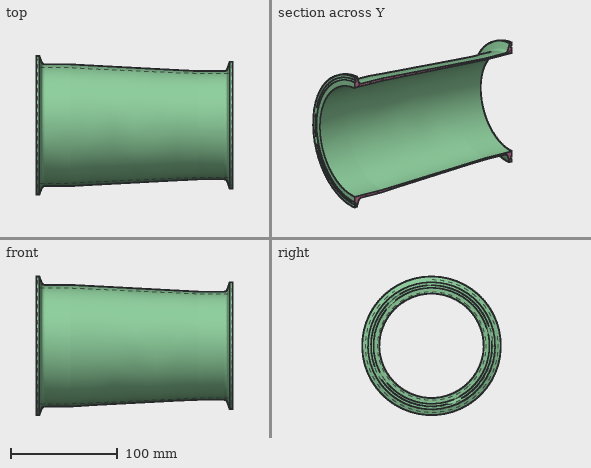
import cadquery as cq

LENGTH = 184.0
FERRULE_LENGTH = 32.0
RIM_WIDTH = 3.0
ROOT_X = 5.9
ROOT_RADIUS = 2.8

LARGE_FLANGE_RADIUS = 130.0 / 2
LARGE_TUBE_RADIUS = 114.3 / 2
LARGE_BORE_RADIUS = 108.4 / 2
SMALL_FLANGE_RADIUS = 119.0 / 2
SMALL_TUBE_RADIUS = 101.5 / 2
SMALL_BORE_RADIUS = 97.5 / 2

GROOVE_INSET = 4.0
GROOVE_HALF_WIDTH = 1.3
GROOVE_DEPTH = 1.1
GROOVE_LIP_RADIUS = 0.5

TOLERANCE = 0.02


def rounded(solid, x, edge_radius, fillet_radius):
    """Fillet the circular edge of the given radius lying at the given X."""
    at_x = [
        edge
        for edge in solid.edges("%CIRCLE").vals()
        if abs(edge.Center().x - x) < TOLERANCE and abs(edge.radius() - edge_radius) < TOLERANCE
    ]
    return solid.newObject(at_x).fillet(fillet_radius)


def ferrule(flange_radius, tube_radius, bore_radius):
    """Clamp ferrule with its flange face at X = 0 and its tube towards +X."""
    groove_radius = flange_radius - GROOVE_INSET
    profile = (
        cq.Workplane("XZ")
        .moveTo(0, bore_radius)
        .lineTo(0, groove_radius - GROOVE_HALF_WIDTH)
        .threePointArc((GROOVE_DEPTH, groove_radius), (0, groove_radius + GROOVE_HALF_WIDTH))
        .lineTo(0, flange_radius)
        .lineTo(RIM_WIDTH, flange_radius)
        .lineTo(ROOT_X, tube_radius)
        .lineTo(FERRULE_LENGTH, tube_radius)
        .lineTo(FERRULE_LENGTH, bore_radius)
        .close()
    )
    body = profile.revolve(360, (0, 0, 0), (1, 0, 0))
    body = rounded(body, ROOT_X, tube_radius, ROOT_RADIUS)
    for lip_radius in (groove_radius - GROOVE_HALF_WIDTH, groove_radius + GROOVE_HALF_WIDTH):
        body = rounded(body, 0, lip_radius, GROOVE_LIP_RADIUS)
    return body


def frustum(large_radius, small_radius):
    """Cone between the two ferrules."""
    profile = (
        cq.Workplane("XZ")
        .moveTo(FERRULE_LENGTH, 0)
        .lineTo(FERRULE_LENGTH, large_radius)
        .lineTo(LENGTH - FERRULE_LENGTH, small_radius)
        .lineTo(LENGTH - FERRULE_LENGTH, 0)
        .close()
    )
    return profile.revolve(360, (0, 0, 0), (1, 0, 0))


large_ferrule = ferrule(LARGE_FLANGE_RADIUS, LARGE_TUBE_RADIUS, LARGE_BORE_RADIUS)
small_ferrule = (
    ferrule(SMALL_FLANGE_RADIUS, SMALL_TUBE_RADIUS, SMALL_BORE_RADIUS)
    .rotate((0, 0, 0), (0, 0, 1), 180)
    .translate((LENGTH, 0, 0))
)
reducer = frustum(LARGE_TUBE_RADIUS, SMALL_TUBE_RADIUS).cut(
    frustum(LARGE_BORE_RADIUS, SMALL_BORE_RADIUS)
)

result = large_ferrule.union(reducer).union(small_ferrule)